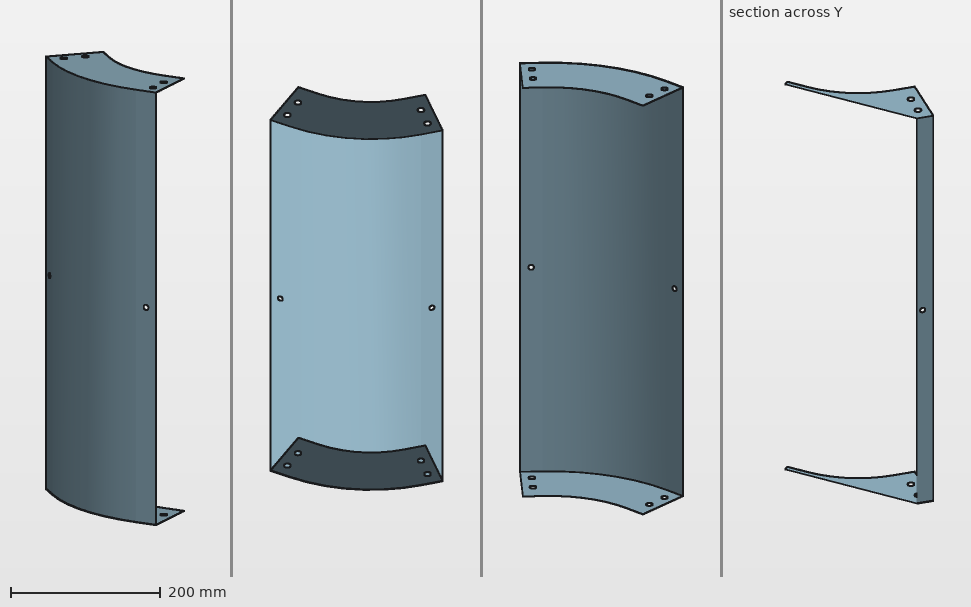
import cadquery as cq
import math

height = 600.0
flange_width = 80.0
outer_radius = 230.0
straight_length = 30.0
bend_angle = 45.0
sheet = 0.7

flange_hole_diameter = 9.0
wall_hole_diameter = 7.0
hole_from_end = 15.0
hole_insets = (20.5, 50.5)

bend = math.radians(bend_angle)


def section_point(inset, along, at_far_end):
    """Point a given inset from the outer face, measured along an end section from its free edge."""
    if not at_far_end:
        return (along, inset)
    radius = outer_radius - inset
    tangent_length = straight_length - along
    x = straight_length + radius * math.sin(bend) + tangent_length * math.cos(bend)
    y = outer_radius - radius * math.cos(bend) + tangent_length * math.sin(bend)
    return (x, y)


def arc_middle(inset):
    """Midpoint of the curved stretch at a given inset from the outer face."""
    radius = outer_radius - inset
    return (
        straight_length + radius * math.sin(bend / 2),
        outer_radius - radius * math.cos(bend / 2),
    )


def curved_band(width, depth):
    """Straight-arc-straight band, running inward from the outer face and extruded upward."""
    return (
        cq.Workplane("XY")
        .moveTo(*section_point(0, 0, False))
        .lineTo(*section_point(0, straight_length, False))
        .threePointArc(arc_middle(0), section_point(0, straight_length, True))
        .lineTo(*section_point(0, 0, True))
        .lineTo(*section_point(width, 0, True))
        .lineTo(*section_point(width, straight_length, True))
        .threePointArc(arc_middle(width), section_point(width, straight_length, False))
        .lineTo(*section_point(width, 0, False))
        .close()
        .extrude(depth)
    )


def wall_hole(at_far_end):
    """Cutter through the wall at mid height, square to the end section."""
    angle = bend if at_far_end else 0.0
    x, y = section_point(0, hole_from_end, at_far_end)
    inward = cq.Vector(-math.sin(angle), math.cos(angle), 0)
    start = cq.Vector(x, y, height / 2) - inward * sheet
    return cq.Workplane(
        cq.Solid.makeCylinder(wall_hole_diameter / 2, 3 * sheet, start, inward)
    )


wall = curved_band(sheet, height)
flange = curved_band(flange_width, sheet)
result = wall.union(flange).union(flange.translate((0, 0, height - sheet)))

flange_hole_points = [
    section_point(inset, hole_from_end, far) for far in (False, True) for inset in hole_insets
]
flange_holes = (
    cq.Workplane("XY")
    .pushPoints(flange_hole_points)
    .circle(flange_hole_diameter / 2)
    .extrude(height)
)
result = result.cut(flange_holes)

for far in (False, True):
    result = result.cut(wall_hole(far))